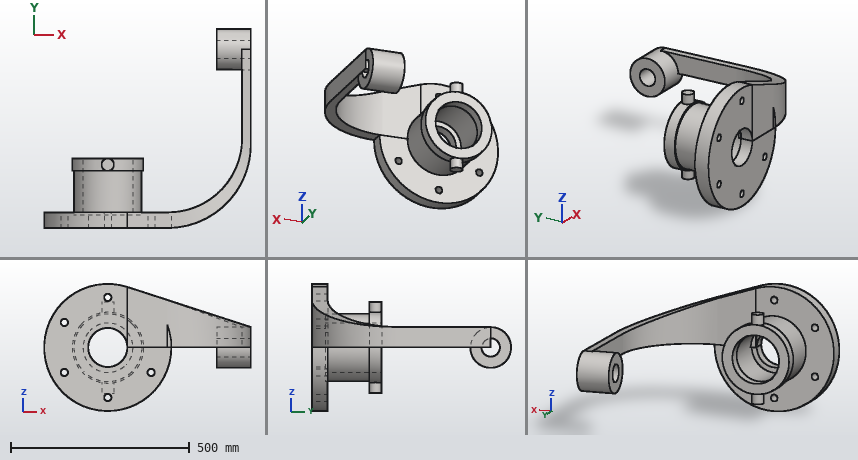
import cadquery as cq
import math


disk_radius = 178.0
disk_thickness = 44.5
disk_bore_radius = 54.5
bolt_circle_radius = 140.0
bolt_hole_radius = 10.0
bolt_count = 6

hub_radius = 95.0
hub_bore_radius = 69.5
hub_length = 115.5
hub_seat_depth = 7.5
ring_radius = 99.5
ring_width = 34.5
pin_radius = ring_width / 2
pin_reach = 128.0
hub_seat_y = disk_thickness - hub_seat_depth
ring_start = disk_thickness + hub_length
pin_y = ring_start + ring_width / 2

overall_width = 578
overall_depth = 557.0
eye_radius = 57.0
eye_bore_radius = 25.5
eye_length = 95.5
eye_y = overall_depth - eye_radius

arm_outer_x = overall_width - disk_radius
leg_thickness = 25.0
arm_inner_x = arm_outer_x - leg_thickness
outer_bend_radius = 233.5
inner_bend_radius = 206.0
outer_bend_center = (arm_outer_x - outer_bend_radius, outer_bend_radius)
inner_bend_center = (arm_inner_x - inner_bend_radius, disk_thickness + inner_bend_radius)
bend_steps = 12

tangent_angle = math.atan2(eye_radius, arm_outer_x) + math.acos(
    disk_radius / math.hypot(arm_outer_x, eye_radius)
)
root_x = disk_radius * math.cos(tangent_angle)
root_height = disk_radius * math.sin(tangent_angle)


def slope_height(x):
    """Height of the line tangent to the disk rim at the arm root."""
    return root_height - (x - root_x) / math.tan(tangent_angle)


def cylinder_y(radius, start, length):
    """Cylinder about the Y axis, growing toward +Y from start."""
    return cq.Workplane("XZ", origin=(0, start, 0)).circle(radius).extrude(-length)


def upright_section(front, back, front_height, back_height):
    """Closed vertical outline standing on Z = 0 between two plan points."""
    return cq.Wire.makePolygon(
        [
            cq.Vector(*front, 0),
            cq.Vector(*back, 0),
            cq.Vector(*back, back_height),
            cq.Vector(*front, front_height),
        ],
        close=True,
    )


def bend_rails(center, radius, start_height):
    """Bottom and top edges of one bend wall; the top falls evenly with X to the eye radius."""
    bottom = []
    top = []
    for step in range(bend_steps + 1):
        angle = math.pi / 2 * step / bend_steps
        x = center[0] + radius * math.sin(angle)
        y = center[1] - radius * math.cos(angle)
        height = start_height + (eye_radius - start_height) * math.sin(angle)
        bottom.append(cq.Vector(x, y, 0))
        top.append(cq.Vector(x, y, height))
    return cq.Edge.makeSpline(bottom), cq.Edge.makeSpline(top)


def make_arm():
    outer_start = (outer_bend_center[0], 0)
    inner_start = (inner_bend_center[0], disk_thickness)
    outer_end = (arm_outer_x, outer_bend_center[1])
    inner_end = (arm_inner_x, inner_bend_center[1])
    outer_height = slope_height(outer_start[0])
    inner_height = slope_height(inner_start[0])

    root_section = upright_section((root_x, 0), (root_x, disk_thickness), root_height, root_height)
    bend_start = upright_section(outer_start, inner_start, outer_height, inner_height)
    root = cq.Solid.makeLoft([root_section, bend_start], True)

    bend_end = upright_section(outer_end, inner_end, eye_radius, eye_radius)
    outer_bottom, outer_top = bend_rails(outer_bend_center, outer_bend_radius, outer_height)
    inner_bottom, inner_top = bend_rails(inner_bend_center, inner_bend_radius, inner_height)
    bend_faces = [
        cq.Face.makeRuledSurface(outer_bottom, outer_top),
        cq.Face.makeRuledSurface(inner_bottom, inner_top),
        cq.Face.makeRuledSurface(outer_top, inner_top),
        cq.Face.makeRuledSurface(outer_bottom, inner_bottom),
        cq.Face.makeFromWires(bend_start),
        cq.Face.makeFromWires(bend_end),
    ]
    bend = cq.Solid.makeSolid(cq.Shell.makeShell(bend_faces)).fix()

    leg = (
        cq.Workplane("XY")
        .polyline([outer_end, (arm_outer_x, eye_y), (arm_inner_x, eye_y), inner_end])
        .close()
        .extrude(eye_radius)
    )
    return cq.Workplane(root).union(cq.Workplane(bend)).union(leg)


def make_disk(arm, hub_seat):
    """Bored disk with bolt holes, recessed at the back for the hub and cut away for the arm root."""
    bolt_holes = (
        cq.Workplane("XZ")
        .polarArray(bolt_circle_radius, 90, 360, bolt_count)
        .circle(bolt_hole_radius)
        .extrude(-disk_thickness)
    )
    disk = cylinder_y(disk_radius, 0, disk_thickness)
    bore = cylinder_y(disk_bore_radius, 0, disk_thickness)
    return disk.cut(bore).cut(bolt_holes).cut(hub_seat).cut(arm)


def make_hub(arm):
    """Tube seated in the back of the disk, notched where the arm root crosses the seat."""
    length = hub_length + hub_seat_depth
    tube = cylinder_y(hub_radius, hub_seat_y, length)
    return tube.cut(cylinder_y(hub_bore_radius, hub_seat_y, length)).cut(arm)


def make_trunnion_ring():
    """Ring with one integral pin above and one below."""
    pins = (
        cq.Workplane("XY", origin=(0, pin_y, 0))
        .circle(pin_radius)
        .extrude(pin_reach, both=True)
    )
    ring = cylinder_y(ring_radius, ring_start, ring_width).union(pins)
    return ring.cut(cylinder_y(hub_bore_radius, ring_start, ring_width))


def make_eye(arm):
    """Bored boss along X, notched where the arm end enters it."""
    return (
        cq.Workplane("YZ", origin=(arm_outer_x - eye_length, eye_y, 0))
        .circle(eye_radius)
        .circle(eye_bore_radius)
        .extrude(eye_length)
        .cut(arm)
    )


arm = make_arm()
hub_seat = cylinder_y(hub_radius, hub_seat_y, hub_seat_depth)
disk = make_disk(arm, hub_seat)
hub = make_hub(arm)
trunnion_ring = make_trunnion_ring()
eye = make_eye(arm)

result = cq.Compound.makeCompound(
    [disk.val(), hub.val(), trunnion_ring.val(), arm.val(), eye.val()]
)